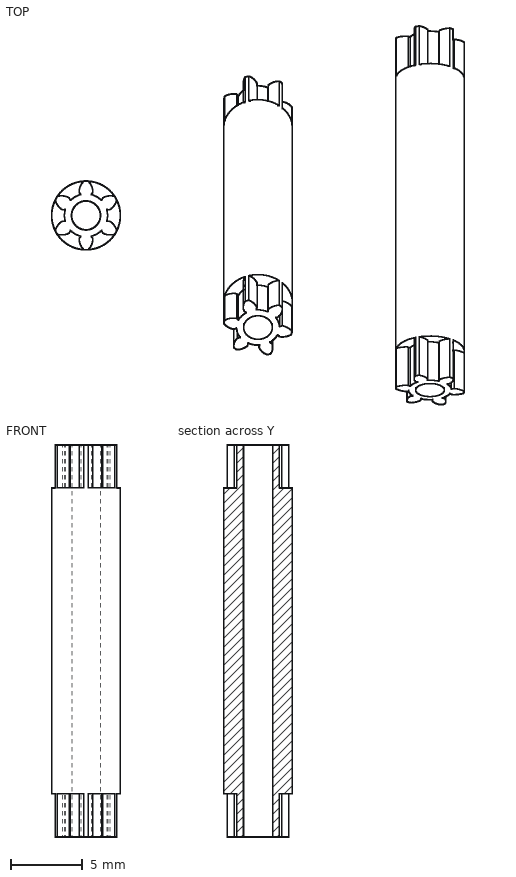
import cadquery as cq
import math

tip_radius = 2.4
body_radius = tip_radius
root_radius = 1.5
bore_radius = 1.0
total_length = 27.3
gear_length = 3.0
tooth_count = 6

root_half_width = 0.36
shoulder_half_width = 0.48
shoulder_distance = 1.62
crest_half_width = 0.36
crest_distance = 2.1
tip_half_width = 0.14

body_length = total_length - 2 * gear_length


def on_circle(radius, half_width):
    """Distance along the tooth axis at which a circle reaches the given half width."""
    return math.sqrt(radius**2 - half_width**2)


def tooth(angle):
    """One tooth pointing along +Y, turned about Z; its foot is sunk into the pinion core."""
    root_distance = on_circle(root_radius, root_half_width)
    foot_distance = (bore_radius + root_radius) / 2
    tip_distance = on_circle(tip_radius, tip_half_width)
    profile = (
        cq.Workplane("XY")
        .moveTo(root_half_width, foot_distance)
        .lineTo(root_half_width, root_distance)
        .lineTo(shoulder_half_width, shoulder_distance)
        .threePointArc((crest_half_width, crest_distance), (tip_half_width, tip_distance))
        .threePointArc((0, tip_radius), (-tip_half_width, tip_distance))
        .threePointArc((-crest_half_width, crest_distance), (-shoulder_half_width, shoulder_distance))
        .lineTo(-root_half_width, root_distance)
        .lineTo(-root_half_width, foot_distance)
        .close()
    )
    return profile.extrude(gear_length).rotate((0, 0, 0), (0, 0, 1), angle)


def pinion(base_height):
    """Toothed end of the shaft, starting at the given height."""
    gear = cq.Workplane("XY").circle(root_radius).extrude(gear_length)
    for index in range(tooth_count):
        gear = gear.union(tooth(index * 360 / tooth_count))
    return gear.translate((0, 0, base_height))


body = cq.Workplane("XY").circle(body_radius).extrude(body_length).translate((0, 0, -body_length / 2))
bottom_pinion = pinion(-total_length / 2)
top_pinion = pinion(body_length / 2)

bore = cq.Workplane("XY").circle(bore_radius).extrude(total_length).translate((0, 0, -total_length / 2))

result = body.union(bottom_pinion).union(top_pinion).cut(bore)